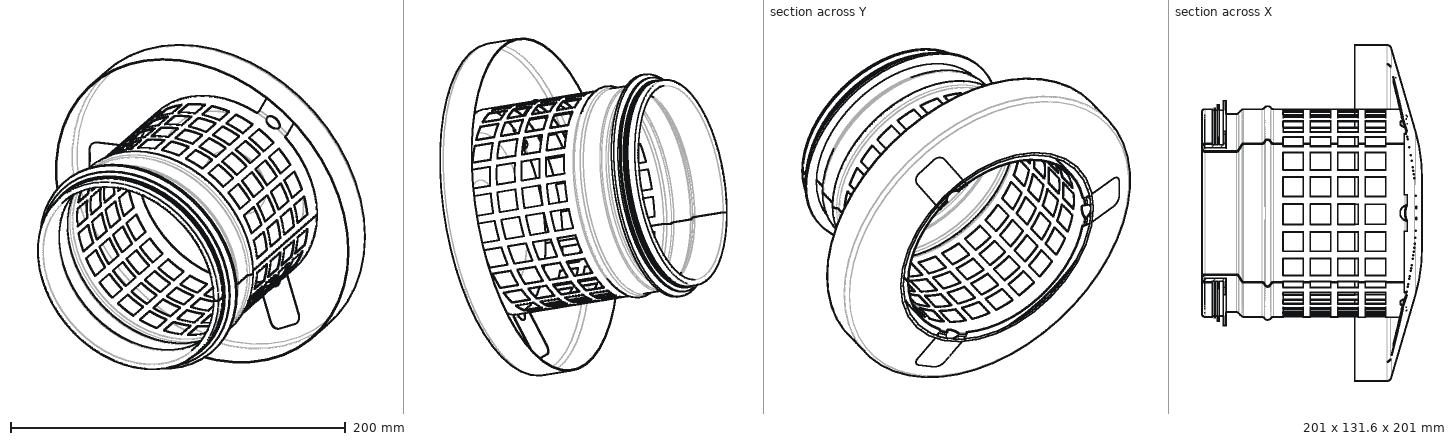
import cadquery as cq
import math


SHEET = 0.6
TOTAL_HEIGHT = 131.6

CAP_RADIUS = 201.0 / 2
CAP_RIM_BOTTOM = 91.2
CAP_FLAT_RADIUS = 21.0
CAP_CROWN_RADIUS = 100.0
CAP_CORNER_RADIUS = 3.0
CAP_SLOPE = 16.3

PIPE_RADIUS = 124.25 / 2
NECK_RADIUS = 118.45 / 2
PIPE_TOP = 121.0
FOLD_TOP = 6.3
SEAM_GAP = 0.1
TAPER_BOTTOM = 21.3
TAPER_ANGLE = 45.0
TAPER_BEND_RADIUS = 1.6
BEAD_Y = 39.3
BEAD_HEIGHT = 1.8
BEAD_HALF_WIDTH = 3.4
BEAD_CREST_RADIUS = 2.4

WINDOW_SIZE = 12.0
WINDOW_ROWS = 4
WINDOW_COLUMNS = 23
WINDOW_ROW_PITCH = 16.4
WINDOW_BOTTOM = 48.5
WINDOW_COLUMN_PITCH = 15.45
WINDOW_MIDDLE_ANGLE = 180.65

TAB_ANGLES = (60.0, 180.0, 300.0)
TAB_WIDTH = 22.0
TAB_REACH = 90.3
TAB_CORNER_RADIUS = 5.0
TAB_BEND_RADIUS = 1.0
TAB_BEND_HOLE_DIAMETER = 9.5

GASKET_INNER_RADIUS = 120.45 / 2
GASKET_OUTER_RADIUS = 123.05 / 2
GASKET_LIPS = (
    (125.3 / 2, 7.4, 0.5),
    (129.45 / 2, 9.3, 1.0),
    (134.45 / 2, 12.9, 1.6),
)

COINCIDENT = 1e-6

FLANGE_RADIUS = TAB_REACH + TAB_CORNER_RADIUS
PIPE_BORE_RADIUS = PIPE_RADIUS - SHEET
NECK_BORE_RADIUS = NECK_RADIUS - SHEET
FOLD_RADIUS = (PIPE_RADIUS - NECK_BORE_RADIUS) / 2
CROWN_CENTRE_Y = TOTAL_HEIGHT - CAP_CROWN_RADIUS
SLOPE = math.radians(CAP_SLOPE)
CORNER_CENTRE_RADIUS = CAP_RADIUS - CAP_CORNER_RADIUS
CORNER_CENTRE_Y = CROWN_CENTRE_Y + (
    CAP_CROWN_RADIUS
    - CAP_CORNER_RADIUS
    - (CORNER_CENTRE_RADIUS - CAP_FLAT_RADIUS) * math.sin(SLOPE)
) / math.cos(SLOPE)


def polar(centre, radius, angle):
    """Point at an angle in degrees on a circle."""
    turn = math.radians(angle)
    return (centre[0] + radius * math.cos(turn), centre[1] + radius * math.sin(turn))


def trace_face(start, bends, end):
    """Edges of one sheet face; bends are (centre, radius, start angle, end angle)."""
    edges = []
    here = cq.Vector(*start)
    for centre, radius, first, last in bends:
        angles = (first, (first + last) / 2, last)
        entry, middle, leave = [cq.Vector(*polar(centre, radius, angle)) for angle in angles]
        if (entry - here).Length > COINCIDENT:
            edges.append(cq.Edge.makeLine(here, entry))
        edges.append(cq.Edge.makeThreePointArc(entry, middle, leave))
        here = leave
    edges.append(cq.Edge.makeLine(here, cq.Vector(*end)))
    return edges


def revolve_sheet(start, bends, end):
    """Revolve a bent sheet about Y.

    start and end are (face A point, face B point). Each bend is
    (centre, face A radius, face B radius, start angle, end angle).
    Straight stretches join bends that do not already meet.
    """
    bends_a = [(centre, radius, first, last) for centre, radius, _, first, last in bends]
    bends_b = [(centre, radius, first, last) for centre, _, radius, first, last in bends]
    edges = trace_face(start[0], bends_a, end[0]) + trace_face(start[1], bends_b, end[1])
    for point_a, point_b in (start, end):
        edges.append(cq.Edge.makeLine(cq.Vector(*point_a), cq.Vector(*point_b)))
    outline = cq.Wire.assembleEdges(edges)
    return cq.Workplane("XY").add(outline).toPending().revolve(360, (0, 0), (0, 1))


def ring(inner_radius, outer_radius, bottom, height):
    """Plain ring about the Y axis."""
    band = cq.Workplane("XZ").circle(outer_radius).circle(inner_radius).extrude(-height)
    return band.translate((0, bottom, 0))


def turned(body, angle):
    """Turn a body about Y by an angle measured from +X toward +Z."""
    return body.rotate((0, 0, 0), (0, 1, 0), -angle)


def make_cap():
    """Rain cap: cylindrical rim, rounded corner, shallow cone and flat-topped crown."""
    cone_normal = 90 - CAP_SLOPE
    corner = (
        (CORNER_CENTRE_RADIUS, CORNER_CENTRE_Y),
        CAP_CORNER_RADIUS,
        CAP_CORNER_RADIUS - SHEET,
        0,
        cone_normal,
    )
    crown = (
        (CAP_FLAT_RADIUS, CROWN_CENTRE_Y),
        CAP_CROWN_RADIUS,
        CAP_CROWN_RADIUS - SHEET,
        cone_normal,
        90,
    )
    rim = ((CAP_RADIUS, CAP_RIM_BOTTOM), (CAP_RADIUS - SHEET, CAP_RIM_BOTTOM))
    apex = ((0, TOTAL_HEIGHT), (0, TOTAL_HEIGHT - SHEET))
    return revolve_sheet(rim, [corner, crown], apex)


def cap_underside(radius):
    """Height of the underside of the cap's cone at a radius."""
    contact = polar((CAP_FLAT_RADIUS, CROWN_CENTRE_Y), CAP_CROWN_RADIUS - SHEET, 90 - CAP_SLOPE)
    return contact[1] - (radius - contact[0]) * math.tan(SLOPE)


def taper_bends():
    """The two bends of the taper from the neck out to the full pipe."""
    lower_bore_radius = TAPER_BEND_RADIUS + SHEET
    upper_bore_radius = TAPER_BEND_RADIUS - SHEET
    cone_height = (PIPE_RADIUS - NECK_RADIUS) / math.tan(math.radians(TAPER_ANGLE))
    tangent = TAPER_BEND_RADIUS * math.tan(math.radians(TAPER_ANGLE / 2))
    lower_centre = (NECK_RADIUS + TAPER_BEND_RADIUS, TAPER_BOTTOM - tangent)
    upper_centre = (PIPE_RADIUS - TAPER_BEND_RADIUS, TAPER_BOTTOM + cone_height + tangent)
    return [
        (lower_centre, lower_bore_radius, TAPER_BEND_RADIUS, 180, 180 - TAPER_ANGLE),
        (upper_centre, upper_bore_radius, TAPER_BEND_RADIUS, -TAPER_ANGLE, 0),
    ]


def bead_bends():
    """The three bends of the stiffening bead pressed outward from the pipe wall."""
    swing = 2 * math.degrees(math.atan(BEAD_HEIGHT / BEAD_HALF_WIDTH))
    root_radius = BEAD_HALF_WIDTH / math.sin(math.radians(swing)) - BEAD_CREST_RADIUS
    root_centre = PIPE_RADIUS + root_radius
    crest_centre = PIPE_RADIUS + BEAD_HEIGHT - BEAD_CREST_RADIUS
    root_inner = root_radius + SHEET
    crest_inner = BEAD_CREST_RADIUS - SHEET
    below = (root_centre, BEAD_Y - BEAD_HALF_WIDTH)
    above = (root_centre, BEAD_Y + BEAD_HALF_WIDTH)
    return [
        (below, root_inner, root_radius, 180, 180 - swing),
        ((crest_centre, BEAD_Y), crest_inner, BEAD_CREST_RADIUS, -swing, swing),
        (above, root_inner, root_radius, 180 + swing, 180),
    ]


def flange_bend():
    """Bend at the pipe top that turns the sheet outward along the cap's cone."""
    inner_face_radius = TAB_BEND_RADIUS + SHEET
    centre_radius = PIPE_RADIUS + TAB_BEND_RADIUS
    centre_y = cap_underside(centre_radius) - inner_face_radius / math.cos(SLOPE)
    return (centre_radius, centre_y), inner_face_radius, TAB_BEND_RADIUS, 180, 90 - CAP_SLOPE


def pipe_sheet():
    """Pipe sheet from the free edge of the rolled end to a full flange under the cap."""
    fold = ((PIPE_RADIUS - FOLD_RADIUS, FOLD_RADIUS), FOLD_RADIUS, FOLD_RADIUS - SHEET, 0, -180)
    bends = [fold, *taper_bends(), *bead_bends(), flange_bend()]
    free_edge = ((PIPE_RADIUS, FOLD_TOP), (PIPE_BORE_RADIUS, FOLD_TOP))
    flange_top = cap_underside(FLANGE_RADIUS)
    flange_edge = (
        (FLANGE_RADIUS, flange_top),
        (FLANGE_RADIUS, flange_top - SHEET / math.cos(SLOPE)),
    )
    return revolve_sheet(free_edge, bends, flange_edge)


def window_cutters():
    """Square prisms that cut the grid of windows."""
    cutters = []
    for column in range(WINDOW_COLUMNS):
        angle = WINDOW_MIDDLE_ANGLE + (column - (WINDOW_COLUMNS - 1) / 2) * WINDOW_COLUMN_PITCH
        for row in range(WINDOW_ROWS):
            middle = WINDOW_BOTTOM + WINDOW_SIZE / 2 + row * WINDOW_ROW_PITCH
            prism = cq.Workplane("XY").box(WINDOW_SIZE, WINDOW_SIZE, WINDOW_SIZE)
            cutters.append(turned(prism.translate((PIPE_RADIUS, middle, 0)), angle).val())
    return cutters


def tab_blank():
    """Straight-sided block with rounded outer corners that outlines a tab along +X."""
    return (
        cq.Workplane("XY")
        .box(TAB_REACH, TOTAL_HEIGHT, TAB_WIDTH)
        .edges("|Y and >X")
        .fillet(TAB_CORNER_RADIUS)
        .translate((TAB_REACH / 2, TOTAL_HEIGHT / 2, 0))
    )


def flange_waste():
    """Everything above the pipe's top edge and outside the pipe, except the three tabs."""
    waste = ring(NECK_BORE_RADIUS, CAP_RADIUS, PIPE_TOP, TOTAL_HEIGHT - PIPE_TOP)
    outside = PIPE_RADIUS + TAB_BEND_RADIUS
    waste = waste.union(ring(outside, CAP_RADIUS, CAP_RIM_BOTTOM, TOTAL_HEIGHT - CAP_RIM_BOTTOM))
    for angle in TAB_ANGLES:
        waste = waste.cut(turned(tab_blank(), angle))
    return waste


def tab_bend_hole():
    """Ball that cuts the round hole through the wall and the tab at the bend."""
    bend = (PIPE_RADIUS, cap_underside(PIPE_RADIUS), 0)
    return cq.Workplane("XY").sphere(TAB_BEND_HOLE_DIAMETER / 2).translate(bend)


def seam_slit():
    """Narrow slit on the +X side where the two edges of the rolled sheet meet."""
    slit = cq.Workplane("XY").box(CAP_RADIUS, 2 * TOTAL_HEIGHT, SEAM_GAP)
    return slit.translate((CAP_RADIUS / 2, 0, 0))


def make_pipe():
    """Pipe with its windows, its seam and the three tabs that carry the cap."""
    pipe = pipe_sheet().cut(flange_waste())
    pipe = pipe.cut(cq.Workplane(cq.Compound.makeCompound(window_cutters())))
    for angle in TAB_ANGLES:
        pipe = pipe.cut(turned(tab_bend_hole(), angle))
    return pipe.cut(seam_slit())


def make_gasket():
    """Band seated in the rolled end, with three lips of growing diameter."""
    top = GASKET_LIPS[-1][1] + GASKET_LIPS[-1][2]
    gasket = ring(GASKET_INNER_RADIUS, GASKET_OUTER_RADIUS, FOLD_RADIUS, top - FOLD_RADIUS)
    for radius, bottom, thickness in GASKET_LIPS:
        gasket = gasket.union(ring(GASKET_INNER_RADIUS, radius, bottom, thickness))
    return gasket


cap = make_cap()
pipe = make_pipe()
gasket = make_gasket()

result = cq.Compound.makeCompound([cap.val(), pipe.solids().val(), gasket.solids().val()])